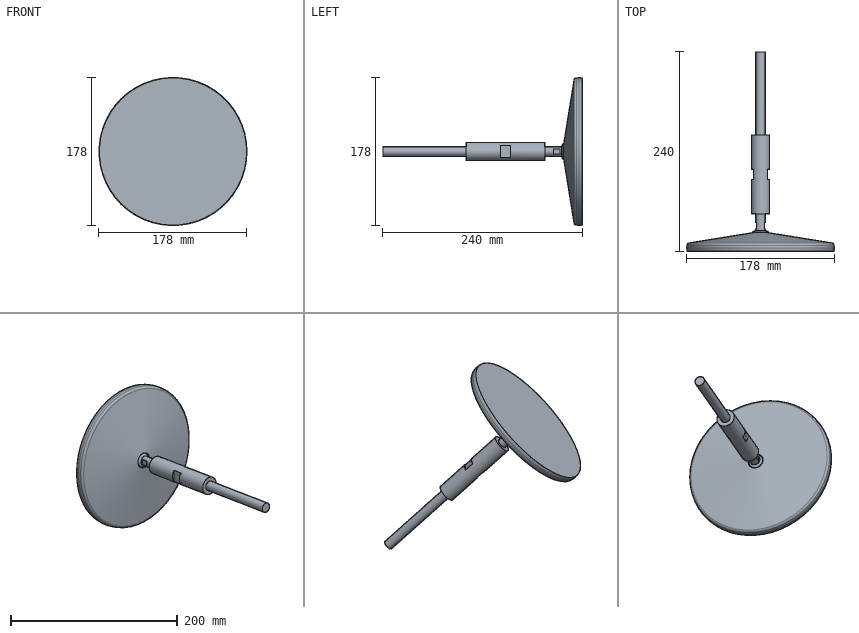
import cadquery as cq
import math

total_length = 240.0

foot_diameter = 178.0
rim_crown = 0.5
rim_widest_y = 4.0
rim_top_y = 7.2
shoulder_radius = 3.0
cone_top_y = 22.5
cone_top_diameter = 17.3

rod_diameter = 12.0
collar_diameter = 18.7
collar_base_diameter = 17.3
collar_widest_y = 23.3
collar_top_y = 25.2
rod_flat_width = 10.0
rod_flat_start_y = 27.0
rod_flat_length = 8.0

sleeve_diameter = 22.0
sleeve_start_y = 45.0
sleeve_length = 94.8
sleeve_flat_width = 17.0
sleeve_flat_length = 12.0


def revolve_about_y(profile):
    """Turn a closed half profile, drawn in XY, about the Y axis."""
    return profile.close().revolve(360, (0, 0, 0), (0, 1, 0))


def cut_wrench_flats(body, diameter, across_flats, start_y, length):
    """Mill two parallel flats facing -X and +X over a stretch of the body."""
    depth = (diameter - across_flats) / 2
    for side in (-1, 1):
        cutter = cq.Workplane("XY").box(2 * depth, length, diameter)
        body = body.cut(cutter.translate((side * diameter / 2, start_y + length / 2, 0)))
    return body


def make_foot():
    widest_radius = foot_diameter / 2
    edge_radius = widest_radius - rim_crown
    cone_top_radius = cone_top_diameter / 2

    center_x = edge_radius - shoulder_radius
    run = center_x - cone_top_radius
    rise = cone_top_y - rim_top_y
    tangent_angle = math.atan2(rise, -run) - math.acos(shoulder_radius / math.hypot(run, rise))

    def shoulder_point(angle):
        return (
            center_x + shoulder_radius * math.cos(angle),
            rim_top_y + shoulder_radius * math.sin(angle),
        )

    profile = (
        cq.Workplane("XY")
        .lineTo(edge_radius, 0)
        .lineTo(widest_radius, rim_widest_y)
        .lineTo(edge_radius, rim_top_y)
        .threePointArc(shoulder_point(tangent_angle / 2), shoulder_point(tangent_angle))
        .lineTo(cone_top_radius, cone_top_y)
        .lineTo(0, cone_top_y)
    )
    return revolve_about_y(profile)


def make_spindle():
    profile = (
        cq.Workplane("XY")
        .moveTo(0, cone_top_y)
        .lineTo(collar_base_diameter / 2, cone_top_y)
        .lineTo(collar_diameter / 2, collar_widest_y)
        .lineTo(rod_diameter / 2, collar_top_y)
        .lineTo(rod_diameter / 2, total_length)
        .lineTo(0, total_length)
    )
    return cut_wrench_flats(
        revolve_about_y(profile), rod_diameter, rod_flat_width, rod_flat_start_y, rod_flat_length
    )


def make_sleeve():
    end_y = sleeve_start_y + sleeve_length
    profile = (
        cq.Workplane("XY")
        .moveTo(rod_diameter / 2, sleeve_start_y)
        .lineTo(sleeve_diameter / 2, sleeve_start_y)
        .lineTo(sleeve_diameter / 2, end_y)
        .lineTo(rod_diameter / 2, end_y)
    )
    flat_start_y = sleeve_start_y + (sleeve_length - sleeve_flat_length) / 2
    return cut_wrench_flats(
        revolve_about_y(profile), sleeve_diameter, sleeve_flat_width, flat_start_y, sleeve_flat_length
    )


foot = make_foot()
spindle = make_spindle()
sleeve = make_sleeve()

result = cq.Compound.makeCompound([foot.val(), spindle.val(), sleeve.val()])